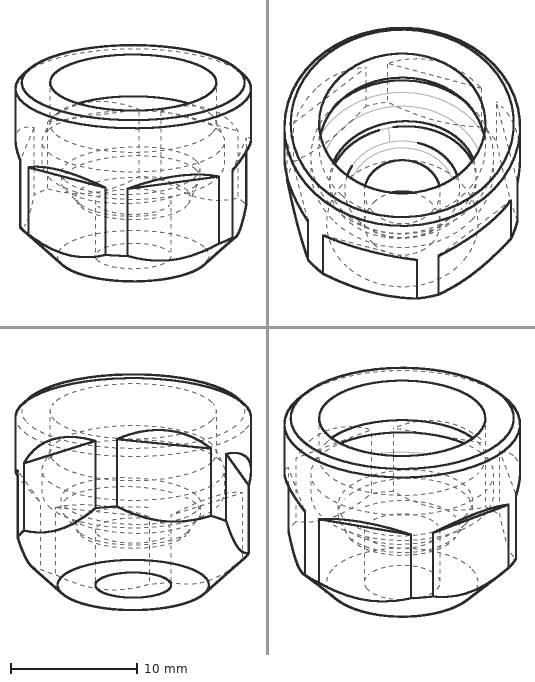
import cadquery as cq
import math

body_diameter = 18.7
total_height = 14.6
top_chamfer = 0.5
body_radius = body_diameter / 2

lower_end_diameter = 12.0
lower_end_radius = lower_end_diameter / 2
taper_height = body_radius - lower_end_radius

flat_count = 6
across_flats = 17.0
flat_top = 9.0
flat_depth = body_radius - across_flats / 2

bore_diameter = 13.18
relief_diameter = 14.5
bore_depth = 3.52
relief_start = 4.94
floor_depth = 7.48
floor_fillet = 0.79

seat_length_x = 10.53
seat_length_y = 11.67
seat_offset_x = -0.26
recess_depth = 0.75
seat_depth = 1.4
pocket_diameter = 9.1
pocket_fillet = 0.4
through_diameter = 6.0


def make_body():
    profile = (
        cq.Workplane("XZ")
        .moveTo(0, 0)
        .lineTo(lower_end_radius, 0)
        .lineTo(body_radius, taper_height)
        .lineTo(body_radius, total_height - top_chamfer)
        .lineTo(body_radius - top_chamfer, total_height)
        .lineTo(0, total_height)
        .close()
    )
    return profile.revolve(360, (0, 0, 0), (0, 1, 0))


def make_flat_cutter(angle):
    """Cut one wrench flat, with a 45 degree shoulder running out at the top."""
    flat_distance = across_flats / 2
    profile = (
        cq.Workplane("XZ")
        .moveTo(flat_distance, 0)
        .lineTo(body_radius + flat_depth, 0)
        .lineTo(body_radius + flat_depth, flat_top + 2 * flat_depth)
        .lineTo(flat_distance, flat_top)
        .close()
    )
    return profile.extrude(body_radius, both=True).rotate((0, 0, 0), (0, 0, 1), angle)


def make_bore():
    bore_radius = bore_diameter / 2
    relief_radius = relief_diameter / 2
    floor_z = total_height - floor_depth
    fillet_shift = floor_fillet * math.sqrt(0.5)
    fillet_middle = (
        relief_radius - floor_fillet + fillet_shift,
        floor_z + floor_fillet - fillet_shift,
    )
    profile = (
        cq.Workplane("XZ")
        .moveTo(0, total_height)
        .lineTo(bore_radius, total_height)
        .lineTo(bore_radius, total_height - bore_depth)
        .lineTo(relief_radius, total_height - relief_start)
        .lineTo(relief_radius, floor_z + floor_fillet)
        .threePointArc(fillet_middle, (relief_radius - floor_fillet, floor_z))
        .lineTo(0, floor_z)
        .close()
    )
    return profile.revolve(360, (0, 0, 0), (0, 1, 0))


def make_seat():
    """Straight oval recess, lofted below to the mouth of the round pocket."""
    recess_bottom = total_height - floor_depth - recess_depth
    recess = (
        cq.Workplane("XY", origin=(0, 0, recess_bottom))
        .center(seat_offset_x, 0)
        .ellipse(seat_length_x / 2, seat_length_y / 2)
        .extrude(recess_depth)
    )
    taper = (
        cq.Workplane("XY", origin=(0, 0, recess_bottom))
        .center(seat_offset_x, 0)
        .ellipse(seat_length_x / 2, seat_length_y / 2)
        .workplane(offset=-seat_depth)
        .center(-seat_offset_x, 0)
        .circle(pocket_diameter / 2)
        .loft()
    )
    return recess.union(taper)


def make_pocket():
    """Shallow round pocket whose bottom corner is rounded."""
    top_z = total_height - floor_depth - recess_depth - seat_depth
    return (
        cq.Workplane("XY", origin=(0, 0, top_z - pocket_fillet))
        .circle(pocket_diameter / 2)
        .extrude(2 * pocket_fillet)
        .faces("<Z")
        .edges()
        .fillet(pocket_fillet)
    )


def make_through_hole():
    return cq.Workplane("XY").circle(through_diameter / 2).extrude(total_height)


result = make_body()
for index in range(flat_count):
    result = result.cut(make_flat_cutter(30 + index * 360 / flat_count))
result = result.cut(make_bore())
result = result.cut(make_seat())
result = result.cut(make_pocket())
result = result.cut(make_through_hole())